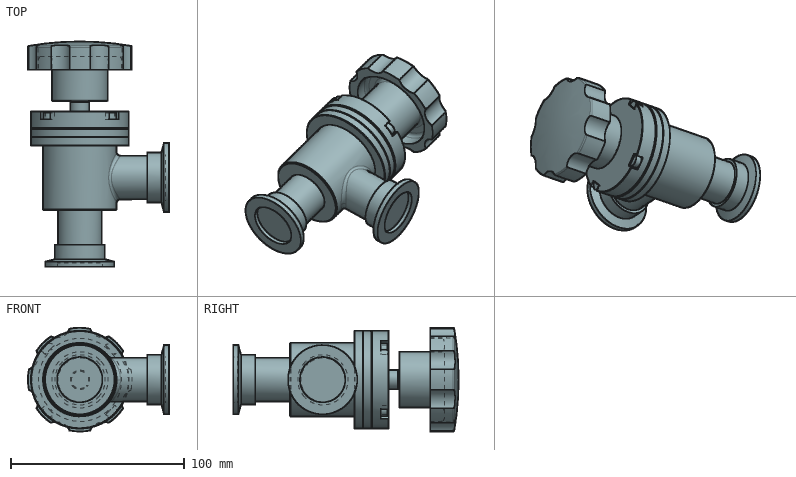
import cadquery as cq
import math


port_reach = 51.6
flange_radius = 20.0
flange_rim = 3.0
cone_end = 4.5
collar_radius = 14.5
collar_end = 12.8
tube_radius = 12.7
bore_radius = 13.1
bore_depth = 2.4

body_radius = 21.3
body_bottom = -19.0
body_chamfer = 0.6
port_fillet = 2.0
disc_radius = 28.3
disc_bottom = 18.3
cap_top = 38.2
disc_chamfer = 0.3
groove_height = 28.3
groove_width = 0.7
groove_depth = 0.4
seam_height = 23.3
seam_width = 0.3
seam_depth = 0.2

notch_count = 4
notch_width = 7.7
notch_depth = 4.5
screw_radius = 3.7
screw_drop = 0.8

stem_radius = 5.6
stem_chamfer = 0.6

hub_bottom = 44.1
hub_radius = 16.2
hub_edge_fillet = 0.8
wheel_radius = 30.0
wheel_bottom = 62.1
wheel_top = 78.6
wheel_edge_fillet = 0.8
dome_radius = 170.0
grip_count = 8
grip_radius = 8.0
grip_half_angle = 11.1
recess_radius = 24.0
recess_depth = 8.0
recess_fillet = 2.0


def cylinder(radius, start, end):
    """Cylinder on the main axis between two heights."""
    return cq.Workplane("XZ", origin=(0, start, 0)).circle(radius).extrude(start - end)


def make_port():
    """Clamp flange, collar and tube pointing along -Y, up to the origin."""
    face = -port_reach
    profile = (
        cq.Workplane("XY")
        .moveTo(0, face + bore_depth)
        .lineTo(bore_radius, face + bore_depth)
        .lineTo(bore_radius, face)
        .lineTo(flange_radius, face)
        .lineTo(flange_radius, face + flange_rim)
        .lineTo(collar_radius, face + cone_end)
        .lineTo(collar_radius, face + collar_end)
        .lineTo(tube_radius, face + collar_end)
        .lineTo(tube_radius, 0)
        .lineTo(0, 0)
        .close()
    )
    return profile.revolve(360, (0, 0, 0), (0, 1, 0))


def make_body():
    """Body cylinder with the side port blended into it, and the lower port."""
    body = cylinder(body_radius, body_bottom, disc_bottom)
    body = body.faces("<Y").chamfer(body_chamfer)
    side_port = make_port().rotate((0, 0, 0), (0, 0, 1), 90)
    body = body.union(side_port)
    junction = body.edges("not (%CIRCLE or %LINE)")
    body = junction.fillet(port_fillet)
    return body.union(make_port())


def make_groove(height, width, depth):
    """Ring that cuts a groove into the disc rim, centred on a height."""
    start = height - width / 2
    end = height + width / 2
    return cylinder(disc_radius, start, end).cut(cylinder(disc_radius - depth, start, end))


def make_discs():
    """Body flange, spacer ring and cap, parted by a groove and a fine seam."""
    discs = cylinder(disc_radius, disc_bottom, cap_top)
    discs = discs.faces("<Y or >Y").chamfer(disc_chamfer)
    discs = discs.cut(make_groove(groove_height, groove_width, groove_depth))
    return discs.cut(make_groove(seam_height, seam_width, seam_depth))


def cut_notches(discs):
    """Square notches in the cap rim with a round screw standing in each."""
    screw_centre = disc_radius - screw_radius
    notch_floor = cap_top - notch_depth
    notch_length = 2 * screw_radius
    notch = cq.Workplane("XY").box(notch_length, notch_depth, notch_width, centered=(False, False, True))
    notch = notch.translate((screw_centre, notch_floor, 0))
    screw = cylinder(screw_radius, notch_floor, cap_top - screw_drop).translate((screw_centre, 0, 0))
    pocket = notch.cut(screw)
    for index in range(notch_count):
        angle = (index + 0.5) * 360 / notch_count
        discs = discs.cut(pocket.rotate((0, 0, 0), (0, 1, 0), angle))
    return discs


def dome_height(radius):
    """Height of the domed top at a distance from the main axis."""
    return wheel_top - dome_radius + math.sqrt(dome_radius**2 - radius**2)


def make_wheel():
    """Domed handwheel with finger grips, hub and an open ring-shaped recess."""
    dome_mid = wheel_radius / 2
    wheel = (
        cq.Workplane("XY")
        .moveTo(0, wheel_bottom)
        .lineTo(wheel_radius, wheel_bottom)
        .lineTo(wheel_radius, dome_height(wheel_radius))
        .threePointArc((dome_mid, dome_height(dome_mid)), (0, wheel_top))
        .close()
        .revolve(360, (0, 0, 0), (0, 1, 0))
    )
    dome_rim = cq.selectors.NearestToPointSelector((0, dome_height(wheel_radius), 0))
    wheel = wheel.edges(dome_rim).fillet(wheel_edge_fillet)

    recess_floor = wheel_bottom + recess_depth
    recess = cylinder(recess_radius, wheel_bottom, recess_floor)
    recess = recess.cut(cylinder(hub_radius, wheel_bottom, recess_floor))
    recess = recess.faces(">Y").edges().fillet(recess_fillet)
    wheel = wheel.cut(recess)

    grip_angle = math.radians(grip_half_angle)
    half_chord = wheel_radius * math.sin(grip_angle)
    grip_centre = wheel_radius * math.cos(grip_angle) + math.sqrt(grip_radius**2 - half_chord**2)
    grip = cylinder(grip_radius, wheel_bottom, wheel_top).translate((grip_centre, 0, 0))
    for index in range(grip_count):
        angle = (index + 0.5) * 360 / grip_count
        wheel = wheel.cut(grip.rotate((0, 0, 0), (0, 1, 0), angle))

    hub = cylinder(hub_radius, hub_bottom, wheel_bottom)
    hub = hub.faces("<Y").edges().fillet(hub_edge_fillet)
    return wheel.union(hub)


def make_stem():
    """Stem joining the cap to the handwheel hub."""
    stem = cylinder(stem_radius, cap_top, hub_bottom)
    return stem.faces(">Y").chamfer(stem_chamfer)


result = make_body().union(cut_notches(make_discs())).union(make_stem()).union(make_wheel())